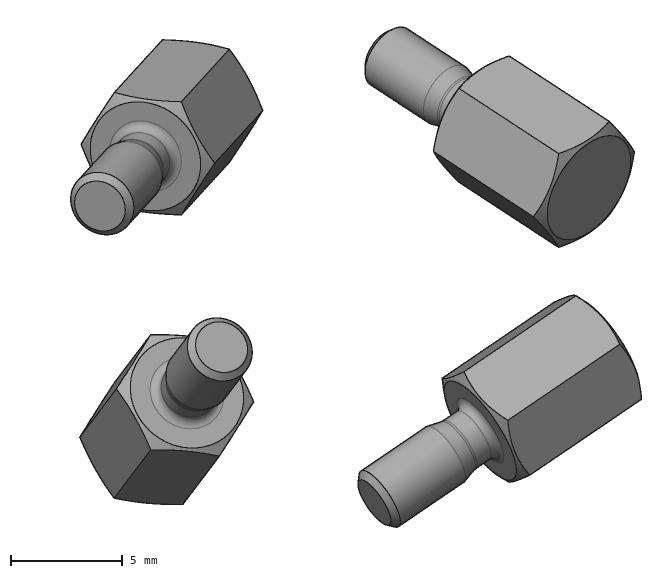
import cadquery as cq
import math

total_length = 13.0
hex_length = 7.0
hex_across_flats = 5.5
hex_face_diameter = 5.24
hex_chamfer_angle = 30.0

stud_diameter = 3.0
neck_diameter = 2.6
neck_root_radius = 0.4
neck_blend_radius = 0.4
cone_end = 2.0
cone_angle = 15.0
tip_chamfer = 0.3

hex_across_corners = hex_across_flats / math.cos(math.radians(30))
stud_length = total_length - hex_length
stud_radius = stud_diameter / 2
neck_radius = neck_diameter / 2
AXIS_START = (0, 0, 0)
AXIS_END = (0, 1, 0)


def hex_body():
    """Hexagonal bar from Y = 0 to +Y, with conical chamfers on both ends."""
    bar = (
        cq.Workplane("XZ")
        .polygon(6, hex_across_corners)
        .extrude(-hex_length)
    )
    face_radius = hex_face_diameter / 2
    corner_radius = hex_across_corners / 2
    chamfer_depth = (corner_radius - face_radius) * math.tan(math.radians(hex_chamfer_angle))
    chamfer_envelope = (
        cq.Workplane("XY")
        .moveTo(0, 0)
        .lineTo(face_radius, 0)
        .lineTo(corner_radius, chamfer_depth)
        .lineTo(corner_radius, hex_length - chamfer_depth)
        .lineTo(face_radius, hex_length)
        .lineTo(0, hex_length)
        .close()
        .revolve(360, AXIS_START, AXIS_END)
    )
    return bar.intersect(chamfer_envelope)


def stud():
    """Turned stud from Y = 0 to -Y: root fillet, neck, cone, shank and chamfered tip."""
    slope = math.radians(cone_angle)
    cone_length = (stud_radius - neck_radius) / math.tan(slope)
    cone_start = cone_end - cone_length

    blend_start = cone_start - neck_blend_radius * math.tan(slope / 2)
    blend_center_radius = neck_radius + neck_blend_radius

    def blend_point(angle):
        return (
            blend_center_radius - neck_blend_radius * math.cos(angle),
            -(blend_start + neck_blend_radius * math.sin(angle)),
        )

    root_arc_middle = neck_root_radius * (1 - math.sqrt(0.5))
    return (
        cq.Workplane("XY")
        .moveTo(0, 0)
        .lineTo(neck_radius + neck_root_radius, 0)
        .threePointArc(
            (neck_radius + root_arc_middle, -root_arc_middle),
            (neck_radius, -neck_root_radius),
        )
        .lineTo(neck_radius, -blend_start)
        .threePointArc(blend_point(slope / 2), blend_point(slope))
        .lineTo(stud_radius, -cone_end)
        .lineTo(stud_radius, -(stud_length - tip_chamfer))
        .lineTo(stud_radius - tip_chamfer, -stud_length)
        .lineTo(0, -stud_length)
        .close()
        .revolve(360, AXIS_START, AXIS_END)
    )


result = hex_body().union(stud())